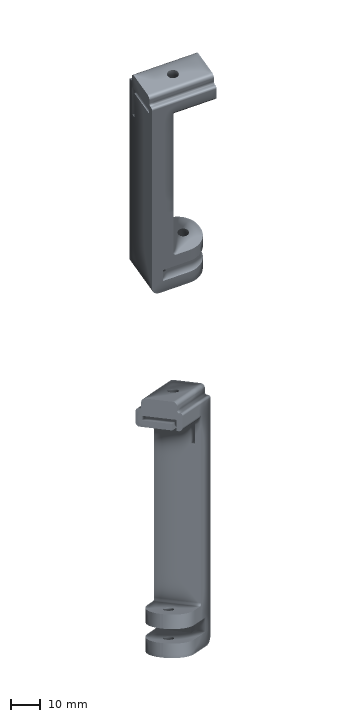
import cadquery as cq
import math

width = 17.0
depth = 24.0
height = 90.0

wall = 8.0
heel_radius = 3.0
inner_radius = 1.0

arm_bottom = height - 10.0
arm_top = height - 3.8
arm_top_radius = 0.8
arm_bottom_radius = 1.4
rail_width = 13.0
rail_radius = 1.4
rail_foot_radius = 0.8
screw_diameter = 4.0
screw_y = 12.0

slot_margin = 2.2
slot_width = 1.6
slot_top = height - 6.1
slot_bottom = height - 19.0

prong_thickness = 5.0
prong_reach = 22.0
prong_corner_radius = 8.0
clamp_height = 3 * prong_thickness
gap_back = 7.0
web_width = 9.0
web_root = wall / 2
pivot_diameter = 3.8
pivot_y = 15.8


def block(x_size, y_start, y_end, z_start, z_end):
    """Box centred on X, spanning the given Y and Z ranges."""
    return (
        cq.Workplane("XY", origin=(0, y_start, z_start))
        .rect(x_size, y_end - y_start)
        .extrude(z_end - z_start)
        .translate((0, (y_end - y_start) / 2, 0))
    )


def vertical_hole(diameter, y, z_start, z_end):
    """Cylinder along Z used to cut a round hole."""
    return cq.Workplane("XY", origin=(0, y, z_start)).circle(diameter / 2).extrude(z_end - z_start)


def make_wall():
    upright = block(width, 0, wall, 0, arm_bottom)
    return upright.edges("|X and <Y and <Z").fillet(heel_radius)


def make_arm():
    arm = block(width, 0, depth, arm_bottom, arm_top)
    arm = arm.edges("|Y and >Z").fillet(arm_top_radius)
    overhang = block(width, wall, depth, arm_bottom, arm_top)
    rounded = overhang.edges("|Y and <Z").fillet(arm_bottom_radius)
    return arm.cut(overhang.cut(rounded))


def make_rail():
    """Round-topped rail with a concave fillet along each side of its foot."""
    half = rail_width / 2
    foot = half + rail_foot_radius
    foot_top = arm_top + rail_foot_radius
    shoulder = height - rail_radius
    diagonal = math.sqrt(0.5)
    foot_offset = rail_foot_radius * (1 - diagonal)
    top_offset = rail_radius * (1 - diagonal)
    return (
        cq.Workplane("XZ")
        .moveTo(-foot, arm_top)
        .threePointArc((-half - foot_offset, arm_top + foot_offset), (-half, foot_top))
        .lineTo(-half, shoulder)
        .threePointArc((-half + top_offset, height - top_offset), (-half + rail_radius, height))
        .lineTo(half - rail_radius, height)
        .threePointArc((half - top_offset, height - top_offset), (half, shoulder))
        .lineTo(half, foot_top)
        .threePointArc((half + foot_offset, arm_top + foot_offset), (foot, arm_top))
        .close()
        .extrude(-depth)
    )


def make_clamp():
    """Two round-ended prongs joined at the root, with a pivot hole through both."""
    clamp = block(width, web_root, prong_reach, 0, clamp_height)
    clamp = clamp.edges("|Z and >Y").fillet(prong_corner_radius)
    pivot = vertical_hole(pivot_diameter, pivot_y, 0, clamp_height)
    return clamp.cut(pivot)


def make_slot():
    left = -width / 2 + slot_margin
    right = width / 2 - slot_margin
    return (
        cq.Workplane("XZ")
        .moveTo(left, slot_bottom)
        .lineTo(left, slot_top)
        .lineTo(right, slot_top)
        .lineTo(right, slot_top - slot_width)
        .lineTo(left + slot_width, slot_top - slot_width)
        .lineTo(left + slot_width, slot_bottom)
        .close()
        .extrude(-depth)
    )


def make_prong_gap():
    """Space between the prongs, leaving a narrow central web on the wall."""
    gap = block(width, web_root, depth, prong_thickness, 2 * prong_thickness)
    web = block(web_width, web_root, gap_back, prong_thickness, 2 * prong_thickness)
    return gap.cut(web)


body = make_wall().union(make_clamp()).union(make_arm()).union(make_rail())

selection_margin = 0.1
corner = cq.selectors.BoxSelector(
    (-width, wall - selection_margin, clamp_height - selection_margin),
    (width, wall + selection_margin, clamp_height + selection_margin),
)
body = body.edges(corner).fillet(inner_radius)

screw_hole = vertical_hole(screw_diameter, screw_y, arm_bottom, height)

result = body.cut(make_prong_gap()).cut(make_slot()).cut(screw_hole)